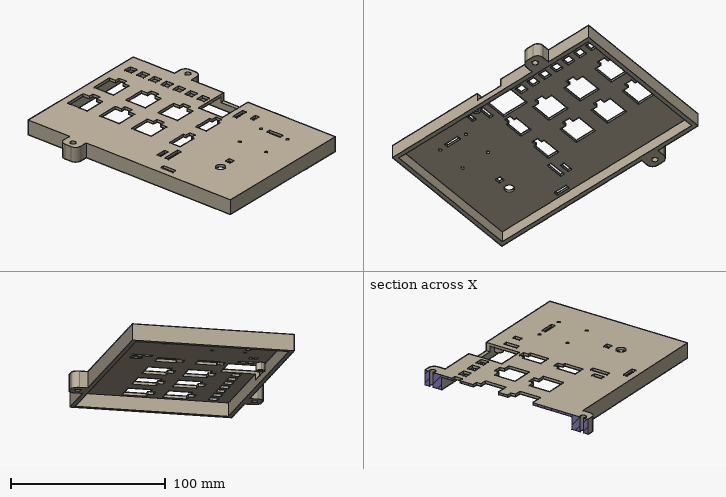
import cadquery as cq

length = 168.5
depth = 108.0
height = 11.0
wall = 3.0
plate = 2.0
plate_underside = height - plate

ear_width = 14.0
ear_reach = 10.0
ear_radius = 4.5
ear_x = 41.5
ear_hole_diameter = 4.0
ear_hole_inset = 5.0

light_size = 5.8
light_count = 7
light_pitch = 10.05
light_first_x = 9.8
light_y = 93.6

row_first_y = 41.5
row_pitch = 27.0
row_ys = (row_first_y, row_first_y + row_pitch)
key_first_x = 13.9
key_pitch = 26.7
key_count = 3
key_width = 16.3
key_height = 16.0
key_tab_width = 6.0
key_tab_height = 3.6
switch_x = 94.35
switch_width = 8.8
switch_height = 14.2
switch_tab_width = 4.6
switch_tab_height = 4.0

window_x = 85.5
window_width = 20.0
window_front_y = 82.0
window_sill = 5.0

slot_width = 3.0
slots = (
    (101.5, 92.3, slot_width, 10.0),
    (112.0, 94.7, slot_width, 5.3),
    (135.5, 86.5, 11.0, slot_width),
    (95.5, 20.5, slot_width, 7.6),
    (102.0, 23.2, slot_width, 13.0),
    (111.5, 6.5, 10.0, slot_width),
)

sensor_size = 4.0
sensor_center = (135.5, 40.0)
knob_diameter = 6.6
knob_center = (136.0, 30.0)

screw_diameter = 2.0
screw_pitch = 22.0
screw_center = (135.5, 75.0)

post_diameter = 6.0
post_bore = 2.5
post_x = 101.5
post_y = depth - wall - post_diameter / 2
post_bottom = 4.0


def block(x, y, size_x, size_y, bottom, top):
    """Upright block centred on (x, y) between two heights."""
    return cq.Workplane("XY", origin=(x, y, bottom)).rect(size_x, size_y).extrude(top - bottom)


def cylinder(x, y, diameter, bottom, top):
    """Upright cylinder on (x, y) between two heights."""
    return cq.Workplane("XY", origin=(x, y, bottom)).circle(diameter / 2).extrude(top - bottom)


def plate_opening(x, y, size_x, size_y):
    """Rectangular cutter through the top plate."""
    return block(x, y, size_x, size_y, plate_underside, height)


def notched_opening(x, y, size_x, size_y, tab_width, tab_height):
    """Rectangular plate cutter with a centred tab on its +Y edge."""
    tab_y = y + (size_y + tab_height) / 2
    return plate_opening(x, y, size_x, size_y).union(plate_opening(x, tab_y, tab_width, tab_height))


def make_ears():
    """Both ears as one bar across the cover, rounded at its four corners and drilled."""
    bar = block(ear_x, depth / 2, ear_width, depth + 2 * ear_reach, 0, height)
    bar = bar.edges("|Z").fillet(ear_radius)
    hole_offset = ear_reach - ear_hole_inset
    for hole_y in (-hole_offset, depth + hole_offset):
        bar = bar.cut(cylinder(ear_x, hole_y, ear_hole_diameter, 0, height))
    return bar


def make_shell():
    """Body and ears, hollowed from below."""
    body = block(length / 2, depth / 2, length, depth, 0, height).union(make_ears())
    cavity = block(length / 2, depth / 2, length - 2 * wall, depth - 2 * wall, 0, plate_underside)
    return body.cut(cavity)


def cut_lights(part):
    for index in range(light_count):
        part = part.cut(plate_opening(light_first_x + index * light_pitch, light_y, light_size, light_size))
    return part


def cut_keys_and_switches(part):
    for row_y in row_ys:
        for column in range(key_count):
            key_x = key_first_x + column * key_pitch
            part = part.cut(
                notched_opening(key_x, row_y, key_width, key_height, key_tab_width, key_tab_height)
            )
        part = part.cut(
            notched_opening(
                switch_x, row_y, switch_width, switch_height, switch_tab_width, switch_tab_height
            )
        )
    return part


def cut_window(part):
    window_depth = depth - window_front_y
    window_y = window_front_y + window_depth / 2
    return part.cut(block(window_x, window_y, window_width, window_depth, window_sill, height))


def cut_small_openings(part):
    for slot in slots:
        part = part.cut(plate_opening(*slot))
    part = part.cut(plate_opening(*sensor_center, sensor_size, sensor_size))
    part = part.cut(cylinder(*knob_center, knob_diameter, plate_underside, height))
    for side_x in (-1, 1):
        for side_y in (-1, 1):
            screw_x = screw_center[0] + side_x * screw_pitch / 2
            screw_y = screw_center[1] + side_y * screw_pitch / 2
            part = part.cut(cylinder(screw_x, screw_y, screw_diameter, plate_underside, height))
    return part


def add_post(part):
    post = cylinder(post_x, post_y, post_diameter, post_bottom, plate_underside)
    bore = cylinder(post_x, post_y, post_bore, post_bottom, plate_underside)
    return part.union(post).cut(bore)


result = make_shell()
result = cut_lights(result)
result = cut_keys_and_switches(result)
result = cut_window(result)
result = cut_small_openings(result)
result = add_post(result)